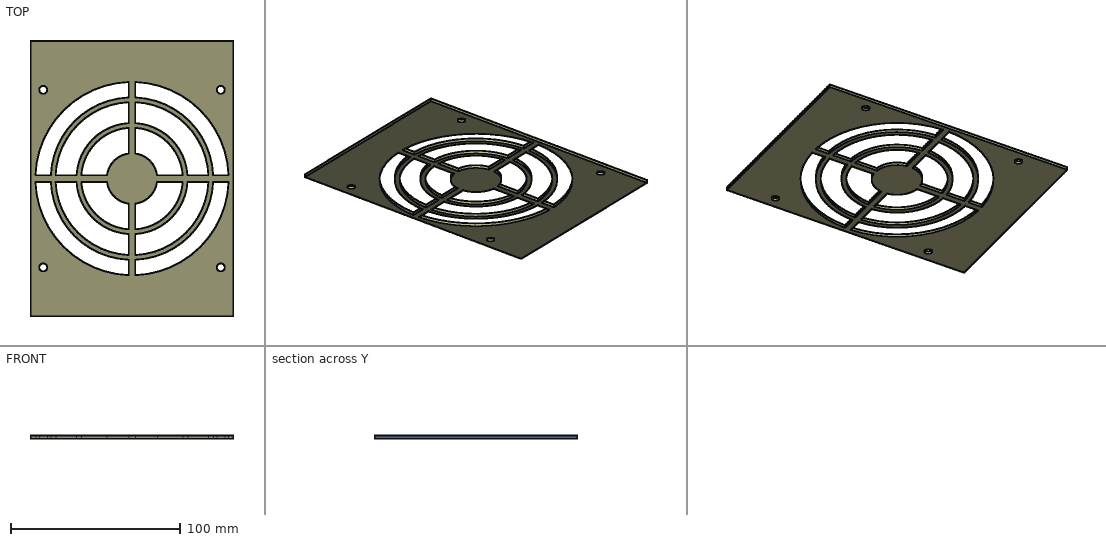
import cadquery as cq

plate_width = 120.0
plate_length = 163.0
plate_thickness = 2.0

opening_radius = 57.0
ring_outer_radii = (48.1, 33.0)
ring_width = 3.0
hub_radius = 15.0
spoke_width = 4.0

hole_diameter = 4.5
hole_spacing = 105.0


def disc(radius):
    """Solid disc as thick as the plate, on the grille axis."""
    return cq.Workplane("XY").circle(radius).extrude(plate_thickness)


def ring(outer_radius):
    """Concentric guard ring as thick as the plate."""
    return disc(outer_radius).cut(disc(outer_radius - ring_width))


def spoke(size_x, size_y):
    """Straight bar through the grille axis."""
    return cq.Workplane("XY").rect(size_x, size_y).extrude(plate_thickness)


grille_gaps = disc(opening_radius).cut(disc(hub_radius))
for outer_radius in ring_outer_radii:
    grille_gaps = grille_gaps.cut(ring(outer_radius))
spoke_length = 2 * opening_radius + spoke_width
grille_gaps = grille_gaps.cut(spoke(spoke_length, spoke_width))
grille_gaps = grille_gaps.cut(spoke(spoke_width, spoke_length))

mounting_holes = (
    cq.Workplane("XY")
    .rect(hole_spacing, hole_spacing, forConstruction=True)
    .vertices()
    .circle(hole_diameter / 2)
    .extrude(plate_thickness)
)

plate = cq.Workplane("XY").rect(plate_width, plate_length).extrude(plate_thickness)
result = plate.cut(grille_gaps).cut(mounting_holes)